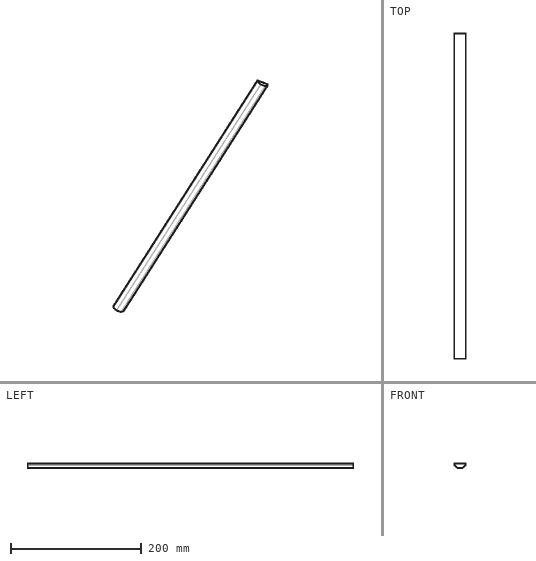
import cadquery as cq

width = 18.0
length = 500.0
height = 7.2
side_height = 2.5
bottom_width = 7.5
edge_radius = 0.5

half_width = width / 2
half_bottom = bottom_width / 2
flank_height = height - side_height


def bar_section():
    """Closed cross-section in XZ, centred on X, with its bottom at Z = 0."""
    return (
        cq.Workplane("XZ")
        .moveTo(-half_bottom, 0)
        .lineTo(half_bottom, 0)
        .lineTo(half_width, flank_height)
        .lineTo(half_width, height)
        .lineTo(-half_width, height)
        .lineTo(-half_width, flank_height)
        .close()
    )


def round_long_edges(bar):
    """Round every edge that runs along the bar; the end faces stay sharp."""
    return bar.edges("|Y").fillet(edge_radius)


bar = bar_section().extrude(length / 2, both=True)
result = round_long_edges(bar)